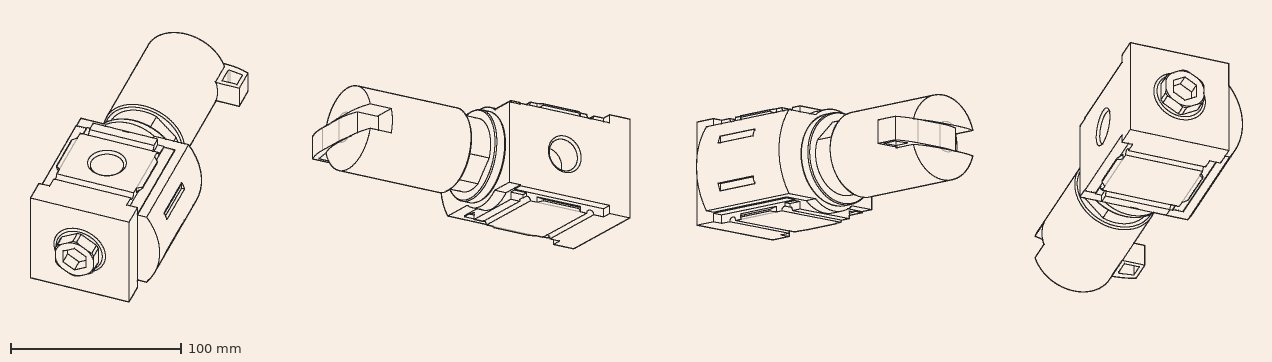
import cadquery as cq
import math


BLOCK_SIZE = 62.0
BLOCK_OFFSET = 0.0
BLOCK_LEFT = BLOCK_OFFSET - BLOCK_SIZE / 2
BLOCK_RIGHT = BLOCK_OFFSET + BLOCK_SIZE / 2
BLOCK_TOP = BLOCK_SIZE / 2
BLOCK_START = -45.5
BLOCK_END = 30.7

COVER_START = -31.3
COVER_END = 38.6
COVER_HALF_HEIGHT = 25.3
COVER_ARC_X = 36.8
COVER_RIGHT = BLOCK_LEFT + 76.0
RIDGE_CROWN = 30.5
RIDGE_RADIUS = 24.1
GRIP_LENGTH = 29.5
GRIP_FLOOR_X = 41.3
GRIP_NEAR_Z = 12.0
GRIP_FAR_Z = 16.4

RABBET_WIDTH = 6.8
RABBET_DEPTH = 5.0
WALL_HALF_SPACING = BLOCK_SIZE / 2 - RABBET_WIDTH
NOTCH_WIDTH = 4.0
NOTCH_DEPTH = 4.5
NOTCH_END = 22.2
GROOVE_RADIUS = 2.5
GROOVE_Y = 22.0
LUG_REACH = 2.8
LUG_LENGTH = 30.2
LUG_HEIGHT = 3.4
LUG_FALL = 0.5
LUG_SLOPE = 2.6
LUG_UNDERCUT = 1.9

PORT_DIAMETER = 19.6
PORT_MOUTH_DIAMETER = 22.8
PORT_CHAMFER = (PORT_MOUTH_DIAMETER - PORT_DIAMETER) / 2
PORT_DEPTH = 18.8

PLUG_END = -54.3
PLUG_FLATS = 24.0
PLUG_CORNER_RADIUS = 13.2
PLUG_CHAMFER_LENGTH = 0.4
PLUG_CHAMFER_DEPTH = 1.0
SOCKET_FLATS = 14.3
SOCKET_DEPTH = 7.7
SEAT_BASE_RADIUS = 16.2
SEAT_TOP_RADIUS = 14.5
SEAT_HEIGHT = 0.8

COLLAR_DIAMETER = 55.0
COLLAR_END = 46.0
COLLAR_CHAMFER_LENGTH = 1.0
COLLAR_CHAMFER_DEPTH = 0.5
NECK_DIAMETER = 44.3
NECK_FLATS = 40.7
KNOB_DIAMETER = 51.0
KNOB_START = 60.7
KNOB_CHAMFER = 1.1
KNOB_TIP = PLUG_END + 188.5
DOME_HEIGHT = 3.0
DOME_FLAT_RADIUS = 9.0
SLOT_WIDTH = 15.3
SLOT_FLOOR = 116.5

SLIDE_THICKNESS = 14.1
SLIDE_HALF_LENGTH = 24.7
SLIDE_RIGHT = 39.2
SLIDE_CENTER = SLIDE_RIGHT - SLIDE_HALF_LENGTH
EYE_LEFT = 27.3
EYE_RIGHT = 36.8
EYE_BOTTOM = 119.3
EYE_TOP_LEFT = 129.9
EYE_TOP_RIGHT = 128.4
EYE_FILLET = 1.0


def box_between(x0, x1, y0, y1, z0, z1):
    """Box given by its limits along each axis."""
    return cq.Workplane("XY").box(x1 - x0, y1 - y0, z1 - z0, centered=False).translate((x0, y0, z0))


def section_at(y):
    """Workplane at a place along Y; a negative extrusion goes toward +Y."""
    return cq.Workplane("XZ", origin=(0, y, 0))


def turned(points):
    """Solid of revolution about Y from (radius, y) points."""
    return cq.Workplane("XY").polyline(points).close().revolve(360, (0, 0), (0, 1))


def hexagon_prism(across_flats, y0, y1):
    """Hexagon bar along Y with corners pointing up and down."""
    hexagon = section_at(y0).transformed(rotate=(0, 0, 90))
    return hexagon.polygon(6, across_flats / math.cos(math.pi / 6)).extrude(y0 - y1)


def both_faces(upper):
    """A shape on the upper face together with its mirror image on the lower face."""
    return upper.union(upper.mirror("XY"))


def both_sides(left):
    """A shape on the -X side of the block with its mirror image on the +X side."""
    return left.union(left.mirror("YZ", (BLOCK_OFFSET, 0, 0)))


def dome_middle(rim):
    """Distance from the axis, and drop below the tip, of the middle of the dome arc."""
    span = rim - DOME_FLAT_RADIUS
    radius = (span**2 + DOME_HEIGHT**2) / (2 * DOME_HEIGHT)
    half_angle = math.asin(span / radius) / 2
    return DOME_FLAT_RADIUS + radius * math.sin(half_angle), radius * (1 - math.cos(half_angle))


def make_block():
    block = box_between(BLOCK_LEFT, BLOCK_RIGHT, BLOCK_START, BLOCK_END, -BLOCK_TOP, BLOCK_TOP)
    wall_x = BLOCK_OFFSET - WALL_HALF_SPACING

    rabbet = box_between(BLOCK_LEFT, wall_x, COVER_START, BLOCK_END, BLOCK_TOP - RABBET_DEPTH, BLOCK_TOP)
    notch = box_between(
        wall_x, wall_x + NOTCH_WIDTH, NOTCH_END, BLOCK_END, BLOCK_TOP - NOTCH_DEPTH, BLOCK_TOP
    )
    block = block.cut(both_faces(both_sides(rabbet.union(notch))))

    for y in (-GROOVE_Y, GROOVE_Y):
        groove = cq.Workplane("YZ", origin=(wall_x, y, BLOCK_TOP)).circle(GROOVE_RADIUS)
        block = block.cut(both_faces(groove.extrude(2 * WALL_HALF_SPACING)))

    return block.union(both_faces(both_sides(make_lug(wall_x))))


def make_lug(wall_x):
    """Lug on the rabbet wall: slanted ends, top and underside."""
    plan = (
        cq.Workplane("XY", origin=(0, 0, BLOCK_TOP - LUG_HEIGHT))
        .polyline([
            (wall_x, -LUG_LENGTH / 2),
            (wall_x, LUG_LENGTH / 2),
            (wall_x - LUG_REACH, LUG_LENGTH / 2 - LUG_SLOPE),
            (wall_x - LUG_REACH, LUG_SLOPE - LUG_LENGTH / 2),
        ])
        .close()
        .extrude(LUG_HEIGHT)
    )
    side = (
        section_at(-LUG_LENGTH / 2)
        .polyline([
            (wall_x, BLOCK_TOP - LUG_HEIGHT),
            (wall_x, BLOCK_TOP),
            (wall_x - LUG_REACH, BLOCK_TOP - LUG_FALL),
            (wall_x - LUG_REACH, BLOCK_TOP - LUG_HEIGHT + LUG_UNDERCUT),
        ])
        .close()
        .extrude(-LUG_LENGTH)
    )
    return plan.intersect(side)


def make_cover():
    cover = (
        section_at(COVER_START)
        .moveTo(BLOCK_LEFT, -COVER_HALF_HEIGHT)
        .lineTo(COVER_ARC_X, -COVER_HALF_HEIGHT)
        .threePointArc((COVER_RIGHT, 0), (COVER_ARC_X, COVER_HALF_HEIGHT))
        .lineTo(BLOCK_LEFT, COVER_HALF_HEIGHT)
        .close()
        .extrude(COVER_START - COVER_END)
    )
    grip = box_between(
        GRIP_FLOOR_X, COVER_RIGHT, -GRIP_LENGTH / 2, GRIP_LENGTH / 2, GRIP_NEAR_Z, GRIP_FAR_Z
    )
    ridge = (
        section_at(BLOCK_END)
        .center(0, RIDGE_CROWN - RIDGE_RADIUS)
        .circle(RIDGE_RADIUS)
        .extrude(BLOCK_END - COVER_END)
        .intersect(box_between(BLOCK_LEFT, BLOCK_RIGHT, BLOCK_END, COVER_END, 0, BLOCK_TOP))
    )
    return cover.cut(both_faces(grip)).union(both_faces(ridge))


def make_port():
    """Port cutter with its mouth at z = 0 and its floor below."""
    bore = cq.Workplane("XY").circle(PORT_DIAMETER / 2).extrude(-PORT_DEPTH)
    mouth = cq.Solid.makeCone(
        PORT_MOUTH_DIAMETER / 2, PORT_DIAMETER / 2, PORT_CHAMFER, dir=cq.Vector(0, 0, -1)
    )
    return bore.union(cq.Workplane(mouth))


def make_plug():
    seat_end = BLOCK_START - SEAT_HEIGHT
    seat = turned([
        (0, BLOCK_START), (SEAT_BASE_RADIUS, BLOCK_START), (SEAT_TOP_RADIUS, seat_end), (0, seat_end),
    ])
    corner_limit = turned([
        (0, BLOCK_START),
        (PLUG_CORNER_RADIUS, BLOCK_START),
        (PLUG_CORNER_RADIUS, PLUG_END + PLUG_CHAMFER_LENGTH),
        (PLUG_CORNER_RADIUS - PLUG_CHAMFER_DEPTH, PLUG_END),
        (0, PLUG_END),
    ])
    head = hexagon_prism(PLUG_FLATS, PLUG_END, BLOCK_START).intersect(corner_limit)
    return seat.union(head)


def make_collar_and_neck():
    radius = COLLAR_DIAMETER / 2
    collar = turned([
        (0, COVER_END),
        (radius - COLLAR_CHAMFER_DEPTH, COVER_END),
        (radius, COVER_END + COLLAR_CHAMFER_LENGTH),
        (radius, COLLAR_END - COLLAR_CHAMFER_LENGTH),
        (radius - COLLAR_CHAMFER_DEPTH, COLLAR_END),
        (0, COLLAR_END),
    ])
    neck = section_at(COLLAR_END).circle(NECK_DIAMETER / 2).extrude(COLLAR_END - KNOB_START)
    flats = (
        section_at(COLLAR_END)
        .transformed(rotate=(0, 0, 45))
        .rect(NECK_FLATS, NECK_DIAMETER)
        .extrude(COLLAR_END - KNOB_START)
    )
    return collar.union(neck.intersect(flats))


def make_knob():
    radius = KNOB_DIAMETER / 2
    middle, drop = dome_middle(radius)
    knob = (
        cq.Workplane("XY")
        .moveTo(0, KNOB_START)
        .lineTo(radius - KNOB_CHAMFER, KNOB_START)
        .lineTo(radius, KNOB_START + KNOB_CHAMFER)
        .lineTo(radius, KNOB_TIP - DOME_HEIGHT)
        .threePointArc((middle, KNOB_TIP - drop), (DOME_FLAT_RADIUS, KNOB_TIP))
        .lineTo(0, KNOB_TIP)
        .close()
        .revolve(360, (0, 0), (0, 1))
    )
    slot = box_between(-radius, radius, SLOT_FLOOR, KNOB_TIP, -SLOT_WIDTH / 2, SLOT_WIDTH / 2)
    return knob.cut(slot)


def make_regulator():
    regulator = make_block().union(make_cover()).union(make_plug())
    regulator = regulator.union(make_collar_and_neck()).union(make_knob())
    upper_port = make_port().translate((0, 0, BLOCK_TOP))
    side_port = make_port().rotate((0, 0, 0), (0, 1, 0), -90).translate((BLOCK_LEFT, 0, 0))
    socket = hexagon_prism(SOCKET_FLATS, PLUG_END, PLUG_END + SOCKET_DEPTH)
    return regulator.cut(upper_port).cut(side_port).cut(socket)


def make_slide():
    """Slide in the knob slot, pulled out toward +X so that its padlock eye is free."""
    middle, drop = dome_middle(SLIDE_HALF_LENGTH)
    rim_y = KNOB_TIP - DOME_HEIGHT
    slide = (
        cq.Workplane("XY", origin=(SLIDE_CENTER, 0, -SLIDE_THICKNESS / 2))
        .moveTo(-SLIDE_HALF_LENGTH, SLOT_FLOOR)
        .lineTo(SLIDE_HALF_LENGTH, SLOT_FLOOR)
        .lineTo(SLIDE_HALF_LENGTH, rim_y)
        .threePointArc((middle, KNOB_TIP - drop), (DOME_FLAT_RADIUS, KNOB_TIP))
        .lineTo(-DOME_FLAT_RADIUS, KNOB_TIP)
        .threePointArc((-middle, KNOB_TIP - drop), (-SLIDE_HALF_LENGTH, rim_y))
        .close()
        .extrude(SLIDE_THICKNESS)
    )
    eye = (
        cq.Workplane("XY", origin=(0, 0, -SLIDE_THICKNESS / 2))
        .polyline([
            (EYE_LEFT, EYE_BOTTOM),
            (EYE_RIGHT, EYE_BOTTOM),
            (EYE_RIGHT, EYE_TOP_RIGHT),
            (EYE_LEFT, EYE_TOP_LEFT),
        ])
        .close()
        .extrude(SLIDE_THICKNESS)
        .edges("|Z and <X and >Y")
        .fillet(EYE_FILLET)
    )
    return slide.cut(eye)


regulator = make_regulator()
slide = make_slide()

result = cq.Compound.makeCompound([regulator.val(), slide.val()])